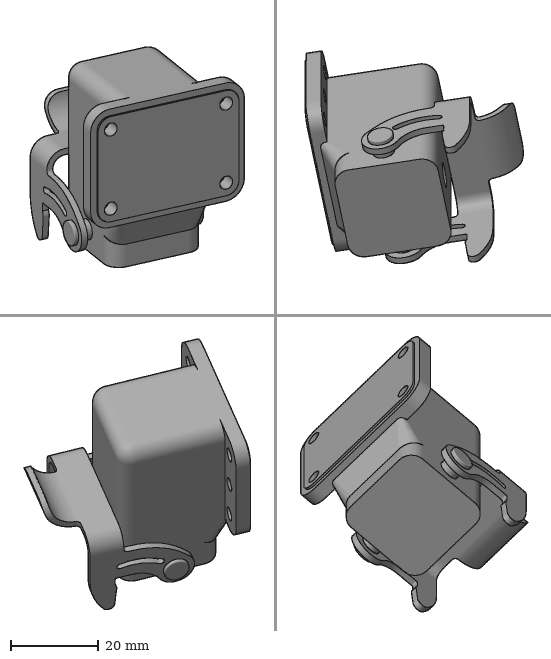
import cadquery as cq
import math


block_width = 24.0
block_depth = block_width
housing_height = 43.4
block_round = 3.8

flange_width = 40.0
flange_height = 30.0
flange_thickness = 3.5
flange_back = 28.7
flange_front = flange_back - flange_thickness
flange_bottom = housing_height - flange_height
flange_middle = housing_height - flange_height / 2
flange_corner = 5.0
pad_thickness = 0.5
pad_inset = 1.68

screw_hole_diameter = 3.25
dimple_diameter = 3.2
dimple_depth = 1.0
screw_pitch_y = flange_width - 2 * flange_corner
screw_pitch_z = flange_height - 2 * flange_corner

slope_start_z = 5.75
slope_end_z = 17.85
shoulder_depth = 11.65
shoulder_end_fraction = 0.9

recess_height = 10.7
recess_outer_diameter = 5.8
recess_inner_diameter = 3.05
recess_depth = (recess_outer_diameter - recess_inner_diameter) / 2

sheet = 1.6
lever_width = 31.75
lever_front = -8.7
lever_top = 20.5
bridge_back = -0.5
bend_radius = 4.5

pivot_x = block_depth / 2
pivot_z = 5.4
shoulder_diameter = 5.0
pin_diameter = 4.8
head_diameter = 6.0
head_thickness = 1.0
head_round = 0.3

eye_radius = 4.5
arc_start_x = 1.4
arm_top = 15.0
arm_bottom = 6.9
arm_crook_fillet = 0.35
bridge_fillet = 1.0

slot_middle_z = 10.9
slot_width = 1.55
slot_start_x = -1.45
slot_end_x = 8.45

finger_arc_start_z = 7.2
finger_front_radius = 16.0
finger_tip_radius = 1.5
finger_bottom = -3.05
finger_back = -2.65
bump_x = -2.25
bump_z = 3.68
bump_start_z = 4.85
bump_fillet = 1.2

tab_width = 16.1
tab_top = 27.15
tab_inner_radius = 7.05
tab_corner = 4.0
tab_root_fillet = 1.0


def box(x_from, x_to, width, z_from, z_to):
    """A box centred on Y."""
    size = (x_to - x_from, width, z_to - z_from)
    return cq.Workplane("XY").box(*size, centered=(False, True, False)).translate((x_from, 0, z_from))


def across(diameter, y_from, y_to, x, z):
    """A round bar parallel to Y."""
    start = cq.Vector(x, y_from, z)
    return cq.Workplane(cq.Solid.makeCylinder(diameter / 2, y_to - y_from, start, cq.Vector(0, 1, 0)))




def make_block():
    """Rounded hood: a lower part with four round corners and a hood reaching into the flange."""
    lower = box(0, block_depth, block_width, 0, slope_end_z).edges("|Z").fillet(block_round)
    hood = box(0, flange_front, block_width, flange_bottom, housing_height)
    hood = hood.edges("(|Z and <X) or (>Z and (not >X))").fillet(block_round)
    return lower.union(hood)


def make_shoulder():
    """Sloped back under the flange, its corner rounds shrinking towards nothing at the flange back."""
    run = flange_back - block_depth
    rise = slope_end_z - slope_start_z
    length = math.hypot(run, rise)
    plane = cq.Plane(
        origin=(block_depth, 0, slope_start_z),
        xDir=(rise, 0, -run),
        normal=(run, 0, rise),
    )
    end_round = block_round * (1 - shoulder_end_fraction)
    start = cq.Sketch().rect(shoulder_depth, block_width).vertices(">X").fillet(block_round)
    end = cq.Sketch().rect(shoulder_depth, block_width).vertices(">X").fillet(end_round)
    middle = cq.Location(cq.Vector(-shoulder_depth / 2, 0, 0))
    lift = cq.Location(cq.Vector(-shoulder_depth / 2, 0, length * shoulder_end_fraction))
    return cq.Workplane(plane).placeSketch(start.moved(middle), end.moved(lift)).loft(ruled=True)


def make_flange():
    """Mounting plate with rounded corners and the sealing pad behind it."""
    plate = box(flange_front, flange_back, flange_width, flange_bottom, housing_height)
    pad = box(
        flange_back,
        flange_back + pad_thickness,
        flange_width - 2 * pad_inset,
        flange_bottom + pad_inset,
        housing_height - pad_inset,
    )
    plate = plate.edges("|X").fillet(flange_corner)
    pad = pad.edges("|X").fillet(flange_corner - pad_inset)
    return plate.union(pad)


def drill_flange(housing):
    """Four screw holes through the flange and a conical dimple midway on each side."""
    face = cq.Workplane("YZ", origin=(flange_front, 0, flange_middle))
    holes = face.rarray(screw_pitch_y, screw_pitch_z, 2, 2).circle(screw_hole_diameter / 2)
    housing = housing.cut(holes.extrude(flange_thickness + pad_thickness))
    for side in (-1, 1):
        centre = cq.Vector(flange_front, side * screw_pitch_y / 2, flange_middle)
        dimple = cq.Solid.makeCone(dimple_diameter / 2, 0, dimple_depth, centre, cq.Vector(1, 0, 0))
        housing = housing.cut(cq.Workplane(dimple))
    return housing


def make_recess():
    """Conical recess with a flat floor."""
    return cq.Workplane(
        cq.Solid.makeCone(
            recess_outer_diameter / 2,
            recess_inner_diameter / 2,
            recess_depth,
            cq.Vector(0, 0, recess_height),
            cq.Vector(1, 0, 0),
        )
    )


def make_pivot():
    """Stepped pivot pin with a rounded head, on the -Y side of the housing."""
    arm_inside = -lever_width / 2 + sheet
    arm_outside = -lever_width / 2
    step = across(shoulder_diameter, arm_inside, -block_width / 2, pivot_x, pivot_z)
    shaft = across(pin_diameter, arm_outside, arm_inside, pivot_x, pivot_z)
    head = across(head_diameter, arm_outside - head_thickness, arm_outside, pivot_x, pivot_z)
    return step.union(shaft).union(head.edges("<Y").fillet(head_round))


def make_housing():
    housing = make_block().union(make_shoulder()).union(make_flange())
    housing = drill_flange(housing).cut(make_recess())
    pivot = make_pivot()
    return housing.union(pivot).union(pivot.mirror("XZ")).clean()




def arc_point(centre, radius, degrees):
    """Point on a circle in the XZ plane, angle counted from +X towards +Z."""
    angle = math.radians(degrees)
    return (centre[0] + radius * math.cos(angle), centre[1] + radius * math.sin(angle))


pivot_centre = (pivot_x, pivot_z)
arc_run = pivot_x - arc_start_x

upper_end_angle = 45
eye_upper = arc_point(pivot_centre, eye_radius, upper_end_angle)
upper_radius = (sum(eye_upper) - arc_start_x - arm_top) / (math.sqrt(2) - 1)
upper_centre = (arc_start_x, arm_top - upper_radius)
upper_middle = arc_point(upper_centre, upper_radius, (upper_end_angle + 90) / 2)
upper_end = arc_point(upper_centre, upper_radius, upper_end_angle)

arm_drop = arm_bottom - pivot_z
lower_radius = (arc_run**2 + arm_drop**2 - eye_radius**2) / (2 * (eye_radius + arm_drop))
lower_centre = (arc_start_x, arm_bottom - lower_radius)
lower_end_angle = math.degrees(math.atan2(pivot_z - lower_centre[1], arc_run))
eye_lower = arc_point(lower_centre, lower_radius, lower_end_angle)
lower_middle = arc_point(lower_centre, lower_radius, (lower_end_angle + 90) / 2)


def make_side_outline():
    """Bridge, arm, pivot eye and finger in side view, extruded over the full lever width."""
    front_centre = (lever_front + finger_front_radius, finger_arc_start_z)
    tip_z = finger_bottom + finger_tip_radius
    drop = finger_arc_start_z - tip_z
    reach = math.sqrt((finger_front_radius - finger_tip_radius) ** 2 - drop**2)
    tip_centre = (front_centre[0] - reach, tip_z)

    bump_dx = bump_x - tip_centre[0]
    bump_dz = bump_z - tip_z
    bump_angle = math.degrees(math.atan2(bump_dz, bump_dx))
    tangent_angle = math.degrees(math.acos(finger_tip_radius / math.hypot(bump_dx, bump_dz)))
    tip_back = arc_point(tip_centre, finger_tip_radius, bump_angle - tangent_angle)

    front_end_angle = 180 + math.degrees(math.atan2(drop, reach))
    front_middle = arc_point(front_centre, finger_front_radius, (180 + front_end_angle) / 2)
    front_end = arc_point(front_centre, finger_front_radius, front_end_angle)

    outline = (
        cq.Workplane("XZ", origin=(0, lever_width / 2, 0))
        .moveTo(lever_front, lever_top)
        .lineTo(bridge_back, lever_top)
        .lineTo(bridge_back, arm_top)
        .lineTo(arc_start_x, arm_top)
        .threePointArc(upper_middle, upper_end)
        .lineTo(*eye_upper)
        .threePointArc(arc_point(pivot_centre, eye_radius, -45), eye_lower)
        .threePointArc(lower_middle, (arc_start_x, arm_bottom))
        .lineTo(finger_back, arm_bottom)
        .lineTo(finger_back, bump_start_z)
        .lineTo(bump_x, bump_z)
        .lineTo(*tip_back)
        .threePointArc((tip_centre[0], finger_bottom), front_end)
        .threePointArc(front_middle, (lever_front, finger_arc_start_z))
        .close()
        .extrude(lever_width)
    )
    fillets = (
        (bridge_back, arm_top, bridge_fillet),
        (finger_back, arm_bottom, arm_crook_fillet),
        (bump_x, bump_z, bump_fillet),
    )
    for x, z, radius in fillets:
        outline = outline.edges(cq.NearestToPointSelector((x, 0, z))).fillet(radius)
    return outline


def make_channel():
    """Bent sheet: a bridge with two rounded bends and two downward sides."""
    back = pivot_x + eye_radius
    outside = box(lever_front, back, lever_width, finger_bottom, lever_top)
    inside = box(lever_front, back, lever_width - 2 * sheet, finger_bottom, lever_top - sheet)
    outside = outside.edges("|X and >Z").fillet(bend_radius)
    inside = inside.edges("|X and >Z").fillet(bend_radius - sheet)
    return outside.cut(inside)


def make_slot():
    """Curved slot through both arms."""
    radius = slot_middle_z - upper_centre[1]
    half = slot_width / 2
    start = math.degrees(math.acos((slot_start_x - arc_start_x) / radius))
    end = math.degrees(math.acos((slot_end_x - arc_start_x) / radius))
    middle = (start + end) / 2
    start_cap = arc_point(arc_point(upper_centre, radius, start), half, start + 90)
    end_cap = arc_point(arc_point(upper_centre, radius, end), half, end - 90)
    return (
        cq.Workplane("XZ", origin=(0, lever_width / 2, 0))
        .moveTo(*arc_point(upper_centre, radius + half, start))
        .threePointArc(
            arc_point(upper_centre, radius + half, middle), arc_point(upper_centre, radius + half, end)
        )
        .threePointArc(end_cap, arc_point(upper_centre, radius - half, end))
        .threePointArc(
            arc_point(upper_centre, radius - half, middle), arc_point(upper_centre, radius - half, start)
        )
        .threePointArc(start_cap, arc_point(upper_centre, radius + half, start))
        .close()
        .extrude(lever_width)
    )


def make_tab_limits():
    """Outline of the thumb tab as a block: rounded top corners, root flaring into the bridge edge."""
    bottom = lever_top - sheet
    tip = lever_front - tab_inner_radius - sheet
    root = lever_front - tab_root_fillet
    root_width = tab_width + 2 * tab_root_fillet
    limits = box(tip, lever_front, tab_width, bottom, tab_top).edges("|X and >Z").fillet(tab_corner)
    flare = box(root, lever_front, root_width, bottom, lever_top + sheet)
    corners = cq.Workplane("XY", origin=(0, 0, bottom)).pushPoints(
        [(root, -root_width / 2), (root, root_width / 2)]
    )
    return limits.union(flare.cut(corners.circle(tab_root_fillet).extrude(2 * sheet)))


def make_tab():
    """Thumb tab: the bridge sheet curling up along a quarter ring."""
    curl_z = lever_top + tab_inner_radius
    outer = across(2 * (tab_inner_radius + sheet), -lever_width / 2, lever_width / 2, lever_front, curl_z)
    inner = across(2 * tab_inner_radius, -lever_width / 2, lever_width / 2, lever_front, curl_z)
    return outer.cut(inner).intersect(make_tab_limits())


def make_lever():
    lever = make_side_outline().intersect(make_channel())
    lever = lever.cut(make_slot())
    lever = lever.cut(across(pin_diameter, -lever_width / 2, lever_width / 2, pivot_x, pivot_z))
    return lever.union(make_tab())


housing = make_housing()
lever = make_lever()

result = cq.Compound.makeCompound([housing.val(), lever.val()])